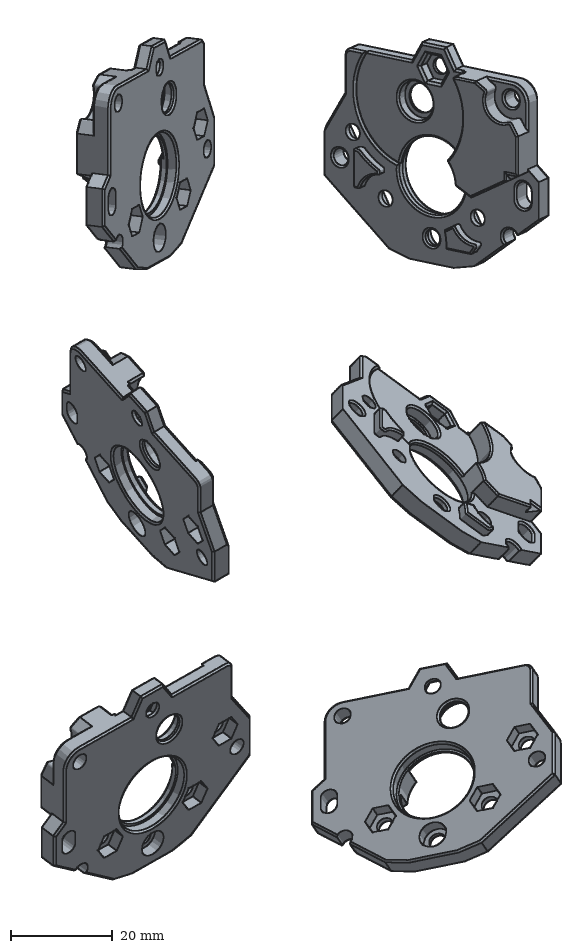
import cadquery as cq
import math

FACE = cq.Plane(origin=(0, 0, 0), xDir=(0, -1, 0), normal=(-1, 0, 0))

BACK = -3.85
PAD_TOP = 3.6
PAD_ROOT = -2.05
BOSS_TOP = 2.0
RECESS = -0.55
PAST = 2.55

EDGE = 0.45
PAD_EDGE = 0.35
BACK_EDGE = 0.4
RIM = 0.4

HALF_WIDTH = 25.55
TOP = 22.9
BOTTOM = -17.95
LEFT = -20.85
RIGHT = 22.9
SHOULDER = 5.6
LEFT_SHOULDER = 13.5
RIGHT_SHOULDER = 3.5
SIDE_BOTTOM = -4.3
LOWER_CORNER = (10.15, -16.7)
BOTTOM_HALF_WIDTH = 5.25
LEFT_RADIUS = 1.65
RIGHT_RADIUS = 4.0

LUG_CENTRE = (0, 22.05)
LUG_APOTHEM = 4.95
NUT_FLATS = 5.6
NUT_DEPTH = 2.5
NUT_RIM = 0.5

BORE_CENTRE = (0, 0)
BORE_RADIUS = 8.0
BORE_BACK_RADIUS = 8.5
BORE_STEP = -1.55
RECESS_CENTRE = (-4.3, 14.7)
RECESS_RADIUS = 14.0
BEARING_RADIUS = 4.05
BEARING_DEPTH = 2.35
SHAFT_RADIUS = 3.0
SCREW_RADIUS = 1.75
PIN_RADIUS = 1.7
SIDE_SCREW = (-21.9, 0)
BOTTOM_SCREW = (0, -12.75)
CORNER_SCREW = (18.95, 19.4)
NOTCH_CENTRE = (18.6, -9.3)
PIN_LEFT = (-11.0, -6.55)
PIN_RIGHT = (11.0, -6.55)
PIN_UPPER = (-18.8, 5.8)
SLOT_CENTRE = (21.85, 0)
SLOT_LENGTH = 5.45
TRAP_FLOOR = -1.3
HEAD_RADIUS = 2.8

PAD_TIP = (11.7, -1.4)
PAD_SLOPE = math.radians(30)
PAD_BORE_SLOPE = math.radians(26)
POCKET_RADIUS = 3.95
POCKET_LIP_RADIUS = 0.65
POCKET_UPPER_FLANK = math.radians(150)
POCKET_LOWER_FLANK = math.radians(-57)
NOTCH_SIDE = 20.1
NOTCH_TOP = 5.25
NOTCH_RIM = 0.3

BOSS_CORNER = 0.45
SIDE_BOSS_LEFT = -17.45
SIDE_BOSS_TOP = 3.1
SIDE_BOSS_BOTTOM = -4.95
SIDE_BOSS_RIGHT = -11.25
SIDE_BOSS_RECESS_RADIUS = 16.5
SIDE_BOSS_PIN_RADIUS = 5.25
LOWER_BOSS_FLANK_RADIUS = 10.25
LOWER_BOSS_FOOT = (4.55, -13.7)
LOWER_BOSS_TOE = (10.65, -13.7)
LOWER_BOSS_END = (12.4, -11.35)
LOWER_BOSS_HEAD = (6.65, -8.45)
LOWER_BOSS_SHOULDER = (4.2, -9.9)


def sketch(height):
    return cq.Workplane(FACE).workplane(offset=height)


def disc(centre, radius, low, high):
    return sketch(low).center(*centre).circle(radius).extrude(high - low)


def hexagon(centre, flats, low, high):
    return sketch(low).center(*centre).polygon(6, flats / math.cos(math.pi / 6)).extrude(high - low)


def rim_cone(centre, radius, face, width):
    """Cutter for a 45 degree rim chamfer around a round hole opening at the given face."""
    cone = cq.Solid.makeCone(radius, radius + width, width)
    return cone.moved(cq.Location(FACE) * cq.Location(cq.Vector(*centre, face - width)))


def back_rim(centre, radius):
    """Cutter for the rim chamfer of a round hole at the back face."""
    cone = cq.Solid.makeCone(radius + BACK_EDGE, radius, BACK_EDGE)
    return cone.moved(cq.Location(FACE) * cq.Location(cq.Vector(*centre, BACK)))


def leg(hypotenuse, side):
    """The other short side of a right triangle."""
    return math.sqrt(hypotenuse**2 - side**2)


def plate_outline(height):
    return (
        sketch(height)
        .moveTo(-BOTTOM_HALF_WIDTH, BOTTOM)
        .lineTo(BOTTOM_HALF_WIDTH, BOTTOM)
        .lineTo(*LOWER_CORNER)
        .lineTo(HALF_WIDTH, SIDE_BOTTOM)
        .lineTo(HALF_WIDTH, RIGHT_SHOULDER)
        .lineTo(RIGHT, SHOULDER)
        .lineTo(RIGHT, TOP - RIGHT_RADIUS)
        .radiusArc((RIGHT - RIGHT_RADIUS, TOP), -RIGHT_RADIUS)
        .lineTo(LEFT + LEFT_RADIUS, TOP)
        .radiusArc((LEFT, TOP - LEFT_RADIUS), -LEFT_RADIUS)
        .lineTo(LEFT, LEFT_SHOULDER)
        .lineTo(-HALF_WIDTH, SHOULDER)
        .lineTo(-HALF_WIDTH, SIDE_BOTTOM)
        .lineTo(-LOWER_CORNER[0], LOWER_CORNER[1])
        .close()
    )


def chamfer_plate(plate):
    """Chamfer the front edges above the shoulders and every edge of the back face."""
    upper_edges = plate.faces("<X").edges().filter(lambda edge: edge.Center().z > SHOULDER)
    plate = upper_edges.chamfer(EDGE)
    return plate.faces(">X").edges().chamfer(BACK_EDGE)


def full_plate():
    """The plate at the level of the mounting face, open where the round recess lies."""
    plate = chamfer_plate(plate_outline(BACK).extrude(-BACK))
    plate = plate.cut(disc(RECESS_CENTRE, RECESS_RADIUS, BACK, PAST))
    plate = plate.cut(rim_cone(RECESS_CENTRE, RECESS_RADIUS, 0, EDGE))
    return plate.cut(rim_cone(BORE_CENTRE, BORE_RADIUS, 0, RIM))


def recessed_plate():
    """The plate at the level of the recess floor, carrying the nut lug."""
    plate = plate_outline(BACK).extrude(RECESS - BACK)
    plate = plate.union(hexagon(LUG_CENTRE, 2 * LUG_APOTHEM, BACK, RECESS))
    return chamfer_plate(plate).cut(rim_cone(BORE_CENTRE, BORE_RADIUS, RECESS, RIM))


def corner_pocket():
    """Clearance in the pad around the corner screw, opening outward between two radial flanks."""
    x, y = CORNER_SCREW

    def radial(distance, angle):
        return (x + distance * math.cos(angle), y + distance * math.sin(angle))

    reach = 3 * POCKET_RADIUS
    opening = (
        sketch(PAD_ROOT)
        .moveTo(x, y)
        .lineTo(*radial(reach, POCKET_LOWER_FLANK))
        .lineTo(x + reach, y + reach)
        .lineTo(*radial(reach, POCKET_UPPER_FLANK))
        .close()
        .extrude(PAD_TOP - PAD_ROOT)
    )
    pocket = opening.union(disc(CORNER_SCREW, POCKET_RADIUS, PAD_ROOT, PAD_TOP))
    for flank in (POCKET_LOWER_FLANK, POCKET_UPPER_FLANK):
        lip = FACE.toWorldCoords((*radial(POCKET_RADIUS, flank), (PAD_ROOT + PAD_TOP) / 2))
        pocket = pocket.edges(cq.NearestToPointSelector(lip.toTuple())).fillet(POCKET_LIP_RADIUS)
    return pocket


def pad_notch():
    """Notch with a sloping floor where the lower flank of the pad meets its outer side."""
    drop = NOTCH_TOP - PAD_TIP[1]
    reach = RIGHT - NOTCH_SIDE + PAST
    wedge = (
        cq.Workplane("XZ", origin=(0, -NOTCH_SIDE, 0))
        .moveTo(-PAD_TOP, NOTCH_TOP)
        .lineTo(-PAD_TOP + drop, NOTCH_TOP - drop)
        .lineTo(-PAD_TOP, NOTCH_TOP - drop)
        .close()
        .extrude(reach)
    )
    rim = (
        sketch(PAD_TOP - NOTCH_RIM)
        .center(NOTCH_SIDE + reach, NOTCH_TOP - NOTCH_RIM - drop)
        .rect(2 * reach, 2 * drop)
        .workplane(offset=NOTCH_RIM)
        .rect(2 * (reach + NOTCH_RIM), 2 * (drop + 2 * NOTCH_RIM))
        .loft(ruled=True)
    )
    return wedge.union(rim)


def pad():
    """Raised pad between the recess, the bore and the right side of the plate."""
    bore_end = (0, PAD_TIP[1] + PAD_TIP[0] * math.tan(PAD_BORE_SLOPE))
    side_bottom = PAD_TIP[1] + (RIGHT - PAD_TIP[0]) * math.tan(PAD_SLOPE)
    block = (
        sketch(PAD_ROOT)
        .moveTo(*PAD_TIP)
        .lineTo(RIGHT, side_bottom)
        .lineTo(RIGHT, TOP - RIGHT_RADIUS)
        .radiusArc((RIGHT - RIGHT_RADIUS, TOP), -RIGHT_RADIUS)
        .lineTo(0, TOP)
        .lineTo(*bore_end)
        .close()
        .extrude(PAD_TOP - PAD_ROOT)
    )
    block = block.cut(disc(RECESS_CENTRE, RECESS_RADIUS, PAD_ROOT, PAD_TOP))
    lead_y = TOP - EDGE
    lead_x = RECESS_CENTRE[0] + leg(RECESS_RADIUS, lead_y - RECESS_CENTRE[1])
    lead = sketch(PAD_ROOT).polyline([(lead_x, lead_y), (lead_x + EDGE, TOP), (lead_x - EDGE, TOP)])
    block = block.cut(lead.close().extrude(PAD_TOP - PAD_ROOT))
    block = block.cut(disc(BORE_CENTRE, BORE_RADIUS, PAD_ROOT, PAD_TOP))
    block = block.cut(corner_pocket())
    block = block.faces("<X").edges().chamfer(PAD_EDGE)
    return block.cut(pad_notch())


def boss(outline):
    """Low boss with rounded corners and a chamfered top, rooted in the plate."""
    raised = outline.close().extrude(BOSS_TOP - RECESS)
    raised = raised.edges("|X").fillet(BOSS_CORNER)
    return raised.faces("<X").edges().chamfer(PAD_EDGE)


def hollow_arc(outline, centre, end):
    """Continue a clockwise outline with a hollow arc as far from the centre as its end point."""
    return outline.radiusArc(end, -math.dist(centre, end))


def side_boss():
    """Three-pointed boss, hollowed along the recess and along the left pin hole."""
    recess_x, recess_y = RECESS_CENTRE
    pin_x, pin_y = PIN_LEFT
    head_x = recess_x - leg(SIDE_BOSS_RECESS_RADIUS, SIDE_BOSS_TOP - recess_y)
    tip_top = recess_y - leg(SIDE_BOSS_RECESS_RADIUS, SIDE_BOSS_RIGHT - recess_x)
    tip_bottom = pin_y + leg(SIDE_BOSS_PIN_RADIUS, SIDE_BOSS_RIGHT - pin_x)
    foot_x = pin_x - leg(SIDE_BOSS_PIN_RADIUS, SIDE_BOSS_BOTTOM - pin_y)
    outline = sketch(RECESS).moveTo(SIDE_BOSS_LEFT, SIDE_BOSS_BOTTOM)
    outline = outline.lineTo(SIDE_BOSS_LEFT, SIDE_BOSS_TOP).lineTo(head_x, SIDE_BOSS_TOP)
    outline = hollow_arc(outline, RECESS_CENTRE, (SIDE_BOSS_RIGHT, tip_top))
    outline = outline.lineTo(SIDE_BOSS_RIGHT, tip_bottom)
    outline = hollow_arc(outline, PIN_LEFT, (foot_x, SIDE_BOSS_BOTTOM))
    return boss(outline)


def lower_boss():
    """Boss hollowed toward the bottom screw hole and along the right pin hole."""
    outline = sketch(RECESS).moveTo(*LOWER_BOSS_FOOT)
    outline = outline.radiusArc(LOWER_BOSS_SHOULDER, -LOWER_BOSS_FLANK_RADIUS)
    outline = outline.lineTo(*LOWER_BOSS_HEAD)
    outline = hollow_arc(outline, PIN_RIGHT, LOWER_BOSS_END)
    outline = outline.lineTo(*LOWER_BOSS_TOE)
    return boss(outline)


def rimmed_hole(centre, radius):
    return disc(centre, radius, BACK - PAST, PAST).union(rim_cone(centre, radius, 0, RIM))


def slot():
    tool = sketch(BACK - PAST).center(*SLOT_CENTRE).slot2D(SLOT_LENGTH, 2 * SCREW_RADIUS, 90)
    tool = tool.extrude(PAST - BACK)
    rim = (
        sketch(0)
        .center(*SLOT_CENTRE)
        .slot2D(SLOT_LENGTH + 2 * RIM, 2 * (SCREW_RADIUS + RIM), 90)
        .extrude(-RIM, taper=45)
    )
    return tool.union(rim)


def nut_pocket():
    """Hexagonal pocket in the lug with a bevelled rim and a through hole."""
    tool = hexagon(LUG_CENTRE, NUT_FLATS, RECESS - NUT_DEPTH, RECESS)
    rim = (
        sketch(RECESS)
        .center(*LUG_CENTRE)
        .polygon(6, (NUT_FLATS + 2 * NUT_RIM) / math.cos(math.pi / 6))
        .extrude(-NUT_RIM, taper=45)
    )
    return tool.union(rim).union(disc(LUG_CENTRE, PIN_RADIUS, BACK - PAST, RECESS))


def bearing_seat():
    """Counterbored shaft hole at the centre of the recess."""
    tool = disc(RECESS_CENTRE, BEARING_RADIUS, RECESS - BEARING_DEPTH, RECESS)
    tool = tool.union(rim_cone(RECESS_CENTRE, BEARING_RADIUS, RECESS, RIM))
    return tool.union(disc(RECESS_CENTRE, SHAFT_RADIUS, BACK - PAST, RECESS))


result = full_plate().union(recessed_plate()).union(pad())

result = result.cut(disc(BORE_CENTRE, BORE_RADIUS, BACK - PAST, PAST))
result = result.cut(disc(BORE_CENTRE, BORE_BACK_RADIUS, BACK - PAST, BORE_STEP))
for centre, radius in ((BORE_CENTRE, BORE_BACK_RADIUS), (RECESS_CENTRE, SHAFT_RADIUS)):
    result = result.cut(back_rim(centre, radius))

result = result.union(side_boss()).union(lower_boss())

for centre in (SIDE_SCREW, BOTTOM_SCREW, CORNER_SCREW, NOTCH_CENTRE):
    result = result.cut(rimmed_hole(centre, SCREW_RADIUS))
for centre in (PIN_LEFT, PIN_RIGHT, PIN_UPPER):
    result = result.cut(disc(centre, PIN_RADIUS, BACK - PAST, PAST))
    result = result.cut(hexagon(centre, NUT_FLATS, BACK, TRAP_FLOOR))
result = result.cut(disc(BOTTOM_SCREW, HEAD_RADIUS, BACK, TRAP_FLOOR))
result = result.cut(slot()).cut(nut_pocket()).cut(bearing_seat())